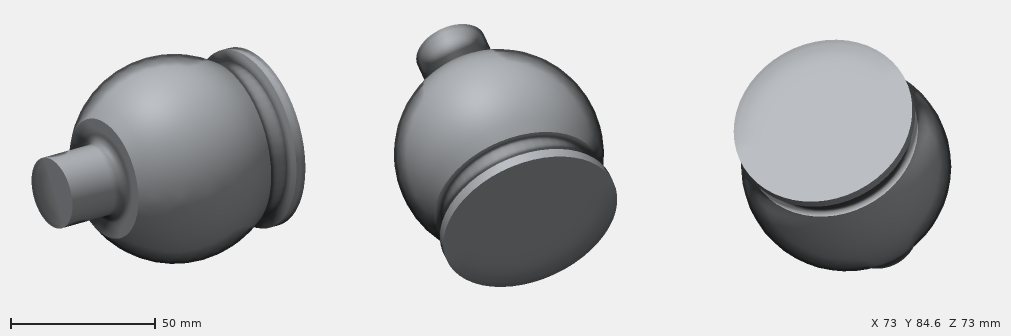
import cadquery as cq

total_length = 84.6

ball_diameter = 73.0
ball_radius = ball_diameter / 2
ball_center_y = 51.25
ball_front_y = 21.7
ball_back_y = 71.1

stem_radius = 12.7
stem_fillet = 3.0

neck_radius = 27.9
neck_fillet = 0.8
flange_radius = 32.0
flange_rim_width = 3.7
flange_taper_width = 1.3
flange_rim_y = total_length - flange_rim_width
flange_taper_y = flange_rim_y - flange_taper_width


def ball_radius_at(y):
    """Radius of the sphere's circular section at position y on the axis."""
    return (ball_radius**2 - (y - ball_center_y) ** 2) ** 0.5


def add_fillet(profile, start, end):
    """Add a concave quarter arc from start to end, bulging toward the corner between the two faces."""
    if start[0] < end[0]:
        corner, center = (start[0], end[1]), (end[0], start[1])
    else:
        corner, center = (end[0], start[1]), (start[0], end[1])
    diagonal = 0.5**0.5
    middle = (
        center[0] + (corner[0] - center[0]) * diagonal,
        center[1] + (corner[1] - center[1]) * diagonal,
    )
    return profile.threePointArc(middle, end)


profile = cq.Workplane("XY").lineTo(stem_radius, 0)

stem_fillet_start = (stem_radius, ball_front_y - stem_fillet)
stem_fillet_end = (stem_radius + stem_fillet, ball_front_y)
profile = profile.lineTo(*stem_fillet_start)
profile = add_fillet(profile, stem_fillet_start, stem_fillet_end)

profile = profile.lineTo(ball_radius_at(ball_front_y), ball_front_y)
profile = profile.threePointArc(
    (ball_radius, ball_center_y), (ball_radius_at(ball_back_y), ball_back_y)
)

neck_fillet_start = (neck_radius + neck_fillet, ball_back_y)
neck_fillet_end = (neck_radius, ball_back_y + neck_fillet)
profile = profile.lineTo(*neck_fillet_start)
profile = add_fillet(profile, neck_fillet_start, neck_fillet_end)

profile = profile.lineTo(neck_radius, flange_taper_y)
profile = profile.lineTo(flange_radius, flange_rim_y)
profile = profile.lineTo(flange_radius, total_length)
profile = profile.lineTo(0, total_length).close()

result = profile.revolve(360, (0, 0, 0), (0, 1, 0))